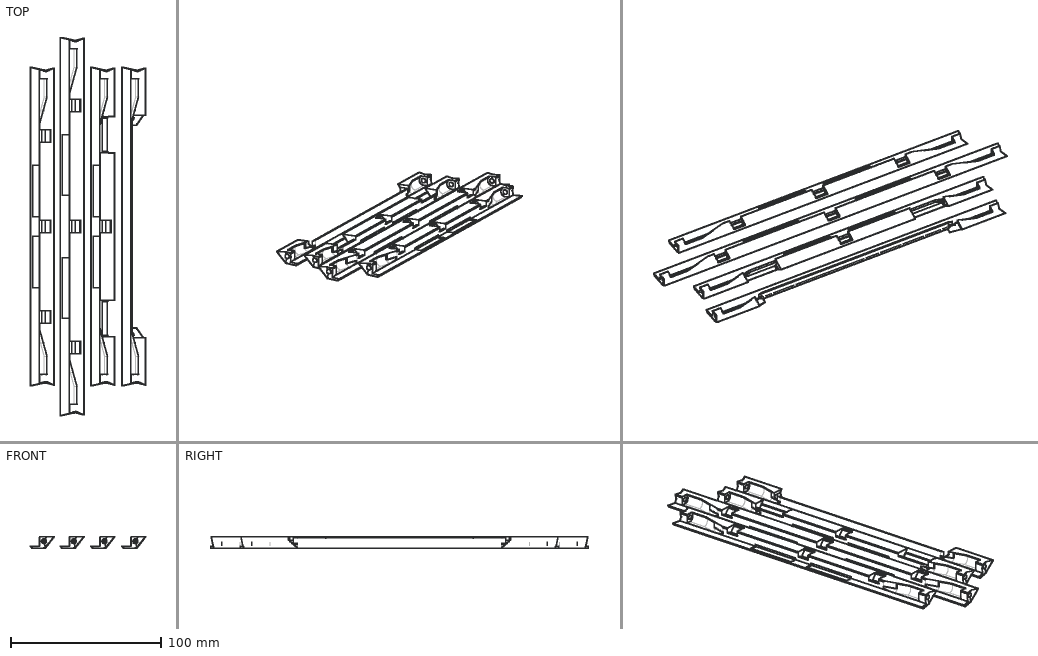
import cadquery as cq
import math

LONG_LENGTH = 251.2
SHORT_LENGTH = 211.5
WIDTH = 15.8
HEIGHT = 7.8
FLANGE_THICKNESS = 1.5
WALL_X = 6.0
WALL_CHAMFER_WIDTH = 0.3
WALL_CHAMFER_HEIGHT = 0.8
BOTTOM_RIGHT_X = 9.8
BACK_SLOPE = (WIDTH - BOTTOM_RIGHT_X) / HEIGHT
BOTTOM_LEFT_X = FLANGE_THICKNESS * BACK_SLOPE

PLAIN_SLAT_X = 0.0
LONG_SLAT_X = 19.8
GAPPED_SLAT_X = 40.2
RAIL_SLAT_X = 60.8

PIN_DIAMETER = 3.0
PIN_X = 9.0
PIN_Z = 4.8

HOLLOW_DEPTH = 3.0
HOLLOW_CORNERS = [(-3.8, 4.5), (11.8, -7.5), (23.5, 29.6)]

FOOT_DEPTH = 1.8
FOOT_HEIGHT = 0.8

POCKET_INSET = 7.5
POCKET_STRAIGHT = 12.0
POCKET_DIAMETER = 6.3
POCKET_RADIUS = POCKET_DIAMETER / 2
POCKET_LIP_X = 11.0
TAPER_ANGLE = 15.5
TAPER_ROUND_LENGTH = 9.0
RUNOUT_LEDGE_Z = 3.5

NOTCH_LENGTH = 8.3
NOTCH_OUTLINE = [
    (WALL_X, HEIGHT),
    (WALL_X, 4.3),
    (7.5, 4.3),
    (7.5, 3.3),
    (10.0, 3.3),
    (13.0, 6.8),
    (13.5, 7.0),
    (13.5, HEIGHT),
]
PLAIN_NOTCH_OFFSET = 60.0
LONG_NOTCH_OFFSET = 80.5

RECESS_X = 1.5
RECESS_FLOOR_Z = 0.8
UNDERCUT_TOP_Z = 2.8
UNDERCUT_DEPTH = 1.0
SHORT_RECESS = (6.5, 40.7)
LONG_RECESS = (20.8, 61.0)

GAP_SPAN = (49.0, 73.0)
GAP_WALL_X = 7.5
GAP_WALL_HEIGHT = 5.3
GAP_FOOT_CHAMFER = 1.0

BLOCK_INNER_Y = 73.9
BLOCK_SLOPE_TOP_Z = 5.8
BLOCK_SLOPE_RUN = 6.5
RAIL_X = 6.8
RAIL_HEIGHT = HEIGHT - WALL_CHAMFER_HEIGHT


def prism_along_y(outline, y_start, y_end):
    """Extrude an (x, z) outline from y_start to y_end."""
    plane = cq.Workplane("XZ", origin=(0, y_start, 0))
    return plane.polyline(outline).close().extrude(y_start - y_end)


def on_both_ends(shape):
    return shape.union(shape.mirror("XZ"))


def slat_blank(length):
    outline = [
        (BOTTOM_LEFT_X, 0),
        (BOTTOM_RIGHT_X, 0),
        (WIDTH, HEIGHT),
        (WALL_X + WALL_CHAMFER_WIDTH, HEIGHT),
        (WALL_X, HEIGHT - WALL_CHAMFER_HEIGHT),
        (WALL_X, FLANGE_THICKNESS),
        (0, FLANGE_THICKNESS),
    ]
    return prism_along_y(outline, -length / 2, length / 2)


def end_hollow(length):
    """Pyramid with its base on the end plane and its apex on the pin axis."""
    end_y = length / 2
    apex = cq.Vector(PIN_X, end_y - HOLLOW_DEPTH, PIN_Z)
    base = [cq.Vector(x, end_y, z) for x, z in HOLLOW_CORNERS]
    faces = [cq.Face.makeFromWires(cq.Wire.makePolygon(base, close=True))]
    for i, corner in enumerate(base):
        triangle = [base[i - 1], corner, apex]
        faces.append(cq.Face.makeFromWires(cq.Wire.makePolygon(triangle, close=True)))
    return cq.Workplane(cq.Solid.makeSolid(cq.Shell.makeShell(faces)))


def end_foot(length):
    """Wedge along the bottom of the end face, deepest below the pin axis."""
    end_y = length / 2
    triangle = [(BOTTOM_LEFT_X, end_y), (PIN_X, end_y - FOOT_DEPTH), (WIDTH, end_y)]
    return cq.Workplane("XY").polyline(triangle).close().extrude(FOOT_HEIGHT)


def pin_hole(length):
    plane = cq.Workplane("XZ", origin=(PIN_X, length / 2, PIN_Z))
    return plane.circle(PIN_DIAMETER / 2).extrude(POCKET_INSET + PIN_DIAMETER / 2)


def pocket_section(y, lip_z):
    """Pocket section: flat floor, round back up to lip_z, then a straight upright lip."""
    round_end_x = PIN_X + math.sqrt(POCKET_RADIUS**2 - (lip_z - PIN_Z) ** 2)
    middle_angle = (math.asin((lip_z - PIN_Z) / POCKET_RADIUS) - math.pi / 2) / 2
    middle = (
        PIN_X + POCKET_RADIUS * math.cos(middle_angle),
        PIN_Z + POCKET_RADIUS * math.sin(middle_angle),
    )
    section = (
        cq.Workplane("XZ", origin=(0, y, 0))
        .moveTo(0, PIN_Z - POCKET_RADIUS)
        .lineTo(PIN_X, PIN_Z - POCKET_RADIUS)
        .threePointArc(middle, (round_end_x, lip_z))
    )
    if round_end_x > POCKET_LIP_X:
        section = section.lineTo(POCKET_LIP_X, lip_z)
    section = section.lineTo(POCKET_LIP_X, HEIGHT).lineTo(0, HEIGHT).close()
    return cq.Face.makeFromWires(section.val())


def end_pocket(length):
    start_y = length / 2 - POCKET_INSET
    taper_y = start_y - POCKET_STRAIGHT
    taper = math.tan(math.radians(TAPER_ANGLE))
    runout_length = (POCKET_LIP_X - WALL_X) / taper
    lip_z = PIN_Z + math.sqrt(POCKET_RADIUS**2 - (POCKET_LIP_X - PIN_X) ** 2)

    def tapered(section, run):
        return cq.Solid.extrudeLinear(section, cq.Vector(-run * taper, -run, 0))

    straight = cq.Solid.extrudeLinear(pocket_section(start_y, lip_z), cq.Vector(0, -POCKET_STRAIGHT, 0))
    rounded = tapered(pocket_section(taper_y, lip_z), TAPER_ROUND_LENGTH)
    runout = tapered(pocket_section(taper_y, RUNOUT_LEDGE_Z), runout_length)
    return cq.Workplane(straight).union(cq.Workplane(rounded)).union(cq.Workplane(runout))


def notch(y_center):
    return prism_along_y(NOTCH_OUTLINE, y_center - NOTCH_LENGTH / 2, y_center + NOTCH_LENGTH / 2)


def flange_recess(span):
    outline = [
        (RECESS_X, RECESS_FLOOR_Z),
        (WALL_X + UNDERCUT_DEPTH, RECESS_FLOOR_Z),
        (WALL_X, UNDERCUT_TOP_Z),
        (RECESS_X, UNDERCUT_TOP_Z),
    ]
    return prism_along_y(outline, *span)


def gap_cut():
    """Opening through the back, with sloped feet at both ends, above a lowered wall."""
    y_start, y_end = GAP_SPAN
    outline = [
        (y_start + GAP_FOOT_CHAMFER, FLANGE_THICKNESS),
        (y_end - GAP_FOOT_CHAMFER, FLANGE_THICKNESS),
        (y_end, FLANGE_THICKNESS + GAP_FOOT_CHAMFER),
        (y_end, HEIGHT),
        (y_start, HEIGHT),
        (y_start, FLANGE_THICKNESS + GAP_FOOT_CHAMFER),
    ]
    plane = cq.Workplane("YZ", origin=(GAP_WALL_X, 0, 0))
    opening = plane.polyline(outline).close().extrude(WIDTH - GAP_WALL_X)
    above_wall = cq.Workplane("XY").box(
        GAP_WALL_X - WALL_X, y_end - y_start, HEIGHT - GAP_WALL_HEIGHT, centered=False
    )
    return opening.union(above_wall.translate((WALL_X, y_start, GAP_WALL_HEIGHT)))


def rail_cut():
    """Everything behind and above the rail, up to the sloped inner faces of the end blocks."""
    slope_foot_y = BLOCK_INNER_Y - BLOCK_SLOPE_RUN
    outline = [
        (-slope_foot_y, 0),
        (slope_foot_y, 0),
        (BLOCK_INNER_Y, BLOCK_SLOPE_TOP_Z),
        (BLOCK_INNER_Y, HEIGHT),
        (-BLOCK_INNER_Y, HEIGHT),
        (-BLOCK_INNER_Y, BLOCK_SLOPE_TOP_Z),
    ]
    plane = cq.Workplane("YZ", origin=(RAIL_X, 0, 0))
    behind = plane.polyline(outline).close().extrude(WIDTH - RAIL_X)
    above_rail = cq.Workplane("XY").box(
        RAIL_X - WALL_X, 2 * BLOCK_INNER_Y, HEIGHT - RAIL_HEIGHT, centered=(False, True, False)
    )
    return behind.union(above_rail.translate((WALL_X, 0, RAIL_HEIGHT)))


def slat_with_ends(length):
    slat = slat_blank(length)
    for feature in (end_hollow, end_foot, pin_hole, end_pocket):
        slat = slat.cut(on_both_ends(feature(length)))
    return slat


def plain_slat():
    slat = slat_with_ends(SHORT_LENGTH).cut(on_both_ends(flange_recess(SHORT_RECESS)))
    for y_center in (-PLAIN_NOTCH_OFFSET, 0, PLAIN_NOTCH_OFFSET):
        slat = slat.cut(notch(y_center))
    return slat.translate((PLAIN_SLAT_X, 0, 0))


def long_slat():
    slat = slat_with_ends(LONG_LENGTH).cut(on_both_ends(flange_recess(LONG_RECESS)))
    for y_center in (-LONG_NOTCH_OFFSET, 0, LONG_NOTCH_OFFSET):
        slat = slat.cut(notch(y_center))
    return slat.translate((LONG_SLAT_X, 0, 0))


def gapped_slat():
    slat = slat_with_ends(SHORT_LENGTH).cut(on_both_ends(flange_recess(SHORT_RECESS)))
    slat = slat.cut(notch(0)).cut(on_both_ends(gap_cut()))
    return slat.translate((GAPPED_SLAT_X, 0, 0))


def rail_slat():
    slat = slat_with_ends(SHORT_LENGTH).cut(rail_cut())
    return slat.translate((RAIL_SLAT_X, 0, 0))


slats = [plain_slat(), long_slat(), gapped_slat(), rail_slat()]
result = cq.Compound.makeCompound([slat.val() for slat in slats])